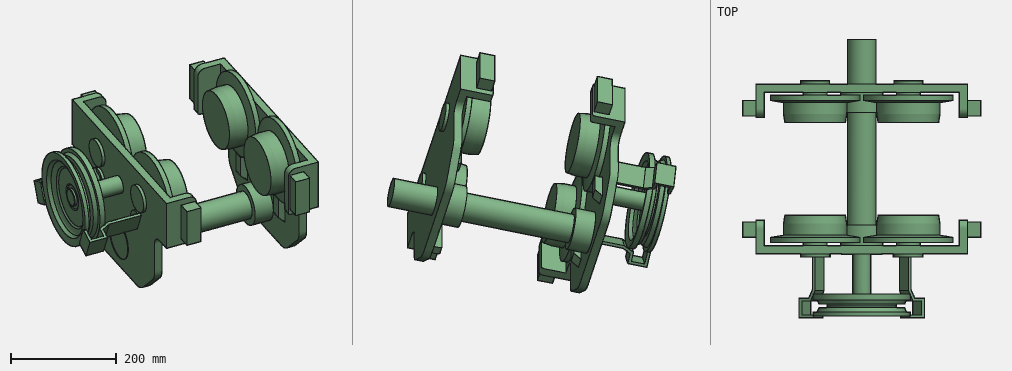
import cadquery as cq
import math


PLATE_THICKNESS = 16.0
FRAME_SPAN = 321.0
PLATE_TOP = 199.5
PLATE_BOTTOM = -59.5
UPPER_HALF_WIDTH = 200.0
LOWER_HALF_WIDTH = 149.5
SHOULDER_Z = 98.0
SHOULDER_RADIUS = 20.0
CORNER_CUT = 60.0
CORNER_UPPER_RADIUS = 30.0
CORNER_LOWER_RADIUS = 40.0

FLANGE_LENGTH = 63.5
FLANGE_TOP_RADIUS = 16.5
FLANGE_BOTTOM_RADIUS = 5.5

BUMPER_END_X = 450.0 / 2
BUMPER_Y = (31.0, 60.5)
BUMPER_Z = (110.5, 187.0)

COLLAR_RADIUS = 40.0
COLLAR_END_Y = 54.0

BLOCK_SPACING = 160.0
BLOCK_WIDTH = 20.0
BLOCK_TOP = 59.0
BLOCK_SLOPE_TOP = 17.5
BLOCK_END_Y = 30.0

WHEEL_SPACING = 176.5
WHEEL_Z = 146.0
WHEEL_RADIUS = 85.0
TREAD_RADIUS = 60.0
TREAD_END_RADIUS = 57.5
WHEEL_BACK_Y = 21.0
RIM_END_Y = 31.0
TREAD_START_Y = 35.5
TREAD_TAPER_Y = 57.0
WHEEL_END_Y = 73.0
PIN_RADIUS = 22.5
PIN_HEAD_RADIUS = 27.5
PIN_HEAD_HEIGHT = 6.5

BAR_RADIUS = 27.5
BAR_END_Y = 405.5
BAR_HEAD_RADIUS = 38.5
BAR_HEAD_HEIGHT = 1.5

CHAIN_Z = 125.5
CHAIN_GROOVE_Y = -98.5
CHAIN_FRONT_Y = -118.0
CHAIN_BACK_Y = -76.0
CHAIN_RADIUS = 92.0
CHAIN_LAND_RADIUS = 88.0
CHAIN_CONE_OUTER_RADIUS = 85.0
CHAIN_CONE_INNER_RADIUS = 81.0
CHAIN_CONE_START = 2.2
CHAIN_GROOVE_HALF_WIDTH = 0.6
CHAIN_GROOVE_RADIUS = 66.5
CHAIN_GROOVE_BOTTOM_RADIUS = 65.5
DISH_STEPS = [(77.0, 0.5), (72.5, 1.9), (69.5, 2.3), (61.0, 2.9), (57.5, 3.5)]
HUB_RECESS_RADIUS = 26.5
HUB_RECESS_FLOOR_RADIUS = 23.5
HUB_RECESS_DEPTH = 0.3
SHAFT_RADIUS = 17.5
SHAFT_END_Y = -103.0
SHAFT_CHAMFER = 1.0

GUIDE_ANGLE = 22.8
GUIDE_WIDTH = 44.0
GUIDE_THICKNESS = 6.0
GUIDE_STRIP_RADIUS = 92.0
GUIDE_BEND_Y = -68.0
GUIDE_BOX_RADIUS = 119.5
GUIDE_BOX_BACK_Y = -83.5
GUIDE_BOX_BACK_RADIUS = 99.5
GUIDE_BOX_FRONT_Y = -121.0
GUIDE_TIP_RADIUS = 89.0
FOOT_CENTRE_RADIUS = 88.5
FOOT_HOLE_RADIUS = 14.0


def box_between(x_range, y_range, z_range):
    """Box given by its limits on each axis."""
    sizes = [abs(b - a) for a, b in (x_range, y_range, z_range)]
    middle = tuple((a + b) / 2 for a, b in (x_range, y_range, z_range))
    return cq.Workplane("XY").box(*sizes).translate(middle)


def disc(x, z, radius, y_start, y_end):
    """Cylinder along Y between two Y positions."""
    axis_start = cq.Vector(x, y_start, z)
    return cq.Workplane(cq.Solid.makeCylinder(radius, y_end - y_start, axis_start, cq.Vector(0, 1, 0)))


def turned(profile, x, z):
    """Solid of revolution about an axis along Y; the profile holds (radius, y) points."""
    outline = cq.Workplane("XY").polyline(profile).close()
    return outline.revolve(360, (0, 0, 0), (0, 1, 0)).translate((x, 0, z))


def side_plate():
    lower_top = PLATE_BOTTOM + CORNER_CUT
    bottom_half = LOWER_HALF_WIDTH - CORNER_CUT
    right_side = [
        (UPPER_HALF_WIDTH, PLATE_TOP),
        (UPPER_HALF_WIDTH, SHOULDER_Z),
        (LOWER_HALF_WIDTH, SHOULDER_Z),
        (LOWER_HALF_WIDTH, lower_top),
        (bottom_half, PLATE_BOTTOM),
    ]
    left_side = [(-x, z) for x, z in reversed(right_side)]
    plate = cq.Workplane("XZ").polyline(right_side + left_side).close().extrude(-PLATE_THICKNESS)

    def round_corners(part, x, z, radius):
        for side in (-1, 1):
            corner = cq.selectors.NearestToPointSelector((side * x, PLATE_THICKNESS / 2, z))
            part = part.edges("|Y").edges(corner).fillet(radius)
        return part

    plate = round_corners(plate, LOWER_HALF_WIDTH, SHOULDER_Z, SHOULDER_RADIUS)
    plate = round_corners(plate, LOWER_HALF_WIDTH, lower_top, CORNER_UPPER_RADIUS)
    return round_corners(plate, bottom_half, PLATE_BOTTOM, CORNER_LOWER_RADIUS)


def end_flange(side):
    """Flange at one end of the plate, with its bumper block."""
    x_range = (side * (UPPER_HALF_WIDTH - PLATE_THICKNESS), side * UPPER_HALF_WIDTH)
    flange = box_between(x_range, (0, FLANGE_LENGTH), (SHOULDER_Z, PLATE_TOP))
    flange = flange.edges("|X and >Y and >Z").fillet(FLANGE_TOP_RADIUS)
    flange = flange.edges("|X and >Y and <Z").fillet(FLANGE_BOTTOM_RADIUS)
    bumper = box_between((side * UPPER_HALF_WIDTH, side * BUMPER_END_X), BUMPER_Y, BUMPER_Z)
    return flange.union(bumper)


def support_block(side):
    """Block on the inner plate face, below a wheel, with a 45 degree underside."""
    depth = BLOCK_END_Y - PLATE_THICKNESS
    profile = [
        (PLATE_THICKNESS, BLOCK_TOP),
        (BLOCK_END_Y, BLOCK_TOP),
        (BLOCK_END_Y, BLOCK_SLOPE_TOP),
        (PLATE_THICKNESS, BLOCK_SLOPE_TOP - depth),
    ]
    block = cq.Workplane("YZ").polyline(profile).close().extrude(BLOCK_WIDTH / 2, both=True)
    return block.translate((side * BLOCK_SPACING / 2, 0, 0))


def rail_wheel(side):
    """Flanged wheel with its pin, which is headed outside the plate."""
    profile = [
        (0, -PIN_HEAD_HEIGHT),
        (PIN_HEAD_RADIUS, -PIN_HEAD_HEIGHT),
        (PIN_HEAD_RADIUS, 0),
        (PIN_RADIUS, 0),
        (PIN_RADIUS, WHEEL_BACK_Y),
        (WHEEL_RADIUS, WHEEL_BACK_Y),
        (WHEEL_RADIUS, RIM_END_Y),
        (TREAD_RADIUS, TREAD_START_Y),
        (TREAD_RADIUS, TREAD_TAPER_Y),
        (TREAD_END_RADIUS, WHEEL_END_Y),
        (0, WHEEL_END_Y),
    ]
    return turned(profile, side * WHEEL_SPACING / 2, WHEEL_Z)


def side_frame():
    """Plate with its flanges, bumpers, wheels, blocks and bar collar."""
    frame = side_plate()
    for side in (-1, 1):
        frame = frame.union(end_flange(side))
        frame = frame.union(support_block(side))
        frame = frame.union(rail_wheel(side))
    frame = frame.union(disc(0, 0, COLLAR_RADIUS, PLATE_THICKNESS, COLLAR_END_Y))
    return frame.cut(disc(0, 0, BAR_RADIUS, 0, COLLAR_END_Y))


def chain_guide(side):
    """Bent strip with a rounded, drilled foot on the plate and a box-shaped mouth over the wheel rim."""
    bend_run = GUIDE_BEND_Y - GUIDE_BOX_BACK_Y
    bend_rise = GUIDE_BOX_BACK_RADIUS - GUIDE_STRIP_RADIUS
    bend_angle = math.atan2(bend_rise, bend_run)
    inner_radius = GUIDE_STRIP_RADIUS - GUIDE_THICKNESS
    inner_bend_y = GUIDE_BEND_Y - GUIDE_THICKNESS * math.tan(bend_angle / 2)
    inner_back_y = GUIDE_BOX_BACK_Y - GUIDE_THICKNESS
    inner_back_radius = inner_radius + (inner_bend_y - inner_back_y) * math.tan(bend_angle)
    inner_front_y = GUIDE_BOX_FRONT_Y + GUIDE_THICKNESS
    inner_box_radius = GUIDE_BOX_RADIUS - GUIDE_THICKNESS
    profile = [
        (GUIDE_STRIP_RADIUS, 0),
        (GUIDE_STRIP_RADIUS, GUIDE_BEND_Y),
        (GUIDE_BOX_BACK_RADIUS, GUIDE_BOX_BACK_Y),
        (GUIDE_BOX_RADIUS, GUIDE_BOX_BACK_Y),
        (GUIDE_BOX_RADIUS, GUIDE_BOX_FRONT_Y),
        (GUIDE_TIP_RADIUS, GUIDE_BOX_FRONT_Y),
        (GUIDE_TIP_RADIUS, inner_front_y),
        (inner_box_radius, inner_front_y),
        (inner_box_radius, inner_back_y),
        (inner_back_radius, inner_back_y),
        (inner_radius, inner_bend_y),
        (inner_radius, 0),
    ]
    guide = cq.Workplane("XY").polyline(profile).close().extrude(GUIDE_WIDTH / 2, both=True)
    foot = disc(FOOT_CENTRE_RADIUS, 0, GUIDE_WIDTH / 2, -GUIDE_THICKNESS, 0)
    foot = foot.cut(disc(FOOT_CENTRE_RADIUS, 0, FOOT_HOLE_RADIUS, -GUIDE_THICKNESS, 0))
    beyond_strip = box_between(
        (inner_radius, inner_radius + GUIDE_WIDTH),
        (-GUIDE_THICKNESS, 0),
        (-GUIDE_WIDTH, GUIDE_WIDTH),
    )
    guide = guide.union(foot.cut(beyond_strip))
    guide = guide.rotate((0, 0, 0), (0, 1, 0), GUIDE_ANGLE)
    if side < 0:
        guide = guide.mirror("YZ")
    return guide.translate((0, 0, CHAIN_Z))


def chain_wheel_half(face_y):
    """(radius, y) points of one half of the chain wheel, from the groove floor to the hub bore."""
    outward = math.copysign(5.5, face_y - CHAIN_GROOVE_Y)
    groove_wall_y = CHAIN_GROOVE_Y + outward * CHAIN_GROOVE_HALF_WIDTH
    cone_start_y = CHAIN_GROOVE_Y + outward * CHAIN_CONE_START
    dish = [(radius, face_y - outward * depth) for radius, depth in DISH_STEPS]
    web_y = dish[-1][1]
    recess_y = web_y - outward * HUB_RECESS_DEPTH
    return [
        (CHAIN_GROOVE_RADIUS, groove_wall_y),
        (CHAIN_CONE_INNER_RADIUS, groove_wall_y),
        (CHAIN_CONE_OUTER_RADIUS, cone_start_y),
        (CHAIN_RADIUS, cone_start_y),
        (CHAIN_RADIUS, face_y),
        (CHAIN_LAND_RADIUS, face_y),
        *dish,
        (HUB_RECESS_RADIUS, web_y),
        (HUB_RECESS_FLOOR_RADIUS, recess_y),
        (SHAFT_RADIUS, recess_y),
    ]


def chain_wheel():
    """Hand-chain wheel with a V-bottomed groove, dished alike on both faces."""
    groove_bottom = [(CHAIN_GROOVE_BOTTOM_RADIUS, CHAIN_GROOVE_Y)]
    front_half = chain_wheel_half(CHAIN_FRONT_Y)
    back_half = chain_wheel_half(CHAIN_BACK_Y)
    return turned(groove_bottom + front_half + back_half[::-1], 0, CHAIN_Z)


def drive_shaft():
    shaft = disc(0, CHAIN_Z, SHAFT_RADIUS, SHAFT_END_Y, 0)
    return shaft.faces("<Y").chamfer(SHAFT_CHAMFER)


def cross_bar():
    """Round bar with a head that fills the bore of the near plate and stands slightly proud of it."""
    bar = disc(0, 0, BAR_RADIUS, 0, BAR_END_Y)
    return bar.union(disc(0, 0, BAR_HEAD_RADIUS, -BAR_HEAD_HEIGHT, PLATE_THICKNESS))


rim_space = disc(0, CHAIN_Z, CHAIN_RADIUS, CHAIN_FRONT_Y, CHAIN_BACK_Y)
bar_head_seat = disc(0, 0, BAR_HEAD_RADIUS, 0, PLATE_THICKNESS)
near_frame = side_frame().cut(bar_head_seat)
for guide_side in (-1, 1):
    near_frame = near_frame.union(chain_guide(guide_side).cut(rim_space))

far_frame = side_frame().mirror("XZ").translate((0, FRAME_SPAN, 0))

result = cq.Compound.makeCompound([
    near_frame.solids().val(),
    far_frame.solids().val(),
    cross_bar().solids().val(),
    chain_wheel().solids().val(),
    drive_shaft().solids().val(),
])